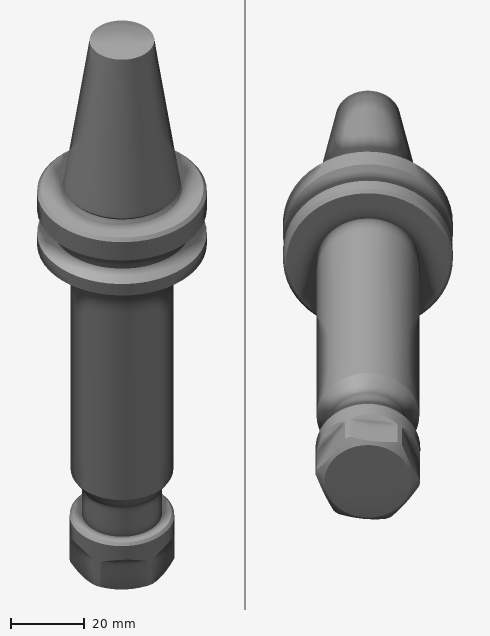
import cadquery as cq
import math

total_height = 178.4

gauge_diameter = 31.8
taper_length = 48.7
taper_ratio = 7 / 24
relief_height = 1.8
relief_depth = 0.7
relief_flare_diameter = 32.5

flange_diameter = 46.0
flange_height = 20.0
flange_chamfer = 0.9
upper_rim_height = 7.1
groove_diameter = 37.8
groove_floor_height = 3.2
groove_upper_side_height = 2.7
groove_lower_side_height = 2.1

body_diameter = 27.8
body_bottom = 32.1
neck_diameter = 21.8
neck_top = 27.3

nut_diameter = 28.4
nut_height = 17.3
nut_top_chamfer = 0.7
nut_bottom_radius = 11.8
nut_bottom_bevel_angle = 35
flat_count = 6
across_flats = 25.3
flat_top = 10.2
shoulder_top = 12.0

gauge_radius = gauge_diameter / 2
taper_top_radius = (gauge_diameter - taper_length * taper_ratio) / 2
gauge_plane = total_height - taper_length
flange_radius = flange_diameter / 2
flange_top = gauge_plane - relief_height
flange_bottom = flange_top - flange_height
groove_radius = groove_diameter / 2
groove_top = flange_top - upper_rim_height
groove_floor_top = groove_top - groove_upper_side_height
groove_floor_bottom = groove_floor_top - groove_floor_height
groove_bottom = groove_floor_bottom - groove_lower_side_height
body_radius = body_diameter / 2
neck_radius = neck_diameter / 2
nut_radius = nut_diameter / 2
nut_bevel_height = (nut_radius - nut_bottom_radius) * math.tan(math.radians(nut_bottom_bevel_angle))


def turned_holder():
    """Revolve the whole round profile, as (radius, height) points from the bottom up."""
    profile = [
        (0, 0),
        (nut_bottom_radius, 0),
        (nut_radius, nut_bevel_height),
        (nut_radius, nut_height - nut_top_chamfer),
        (nut_radius - nut_top_chamfer, nut_height),
        (neck_radius, nut_height),
        (neck_radius, neck_top),
        (body_radius, body_bottom),
        (body_radius, flange_bottom),
        (flange_radius - flange_chamfer, flange_bottom),
        (flange_radius, flange_bottom + flange_chamfer),
        (flange_radius, groove_bottom),
        (groove_radius, groove_floor_bottom),
        (groove_radius, groove_floor_top),
        (flange_radius, groove_top),
        (flange_radius, flange_top - flange_chamfer),
        (flange_radius - flange_chamfer, flange_top),
        (relief_flare_diameter / 2, flange_top),
        (gauge_radius - relief_depth, gauge_plane - relief_height / 2),
        (gauge_radius, gauge_plane),
        (taper_top_radius, total_height),
        (0, total_height),
    ]
    return cq.Workplane("XZ").polyline(profile).close().revolve(360, (0, 0, 0), (0, 1, 0))


def nut_flat_cutter():
    """Block outside the +Y flat, whose sloped top leaves an arched shoulder on the nut."""
    flat_distance = across_flats / 2
    shoulder_slope = (shoulder_top - flat_top) / (nut_radius - flat_distance)
    outer_distance = nut_radius + 1.8
    outer_top = flat_top + shoulder_slope * (outer_distance - flat_distance)
    section = [
        (flat_distance, 0),
        (outer_distance, 0),
        (outer_distance, outer_top),
        (flat_distance, flat_top),
    ]
    return cq.Workplane("YZ").polyline(section).close().extrude(nut_radius, both=True)


result = turned_holder()
for index in range(flat_count):
    flat_angle = index * 360 / flat_count
    result = result.cut(nut_flat_cutter().rotate((0, 0, 0), (0, 0, 1), flat_angle))